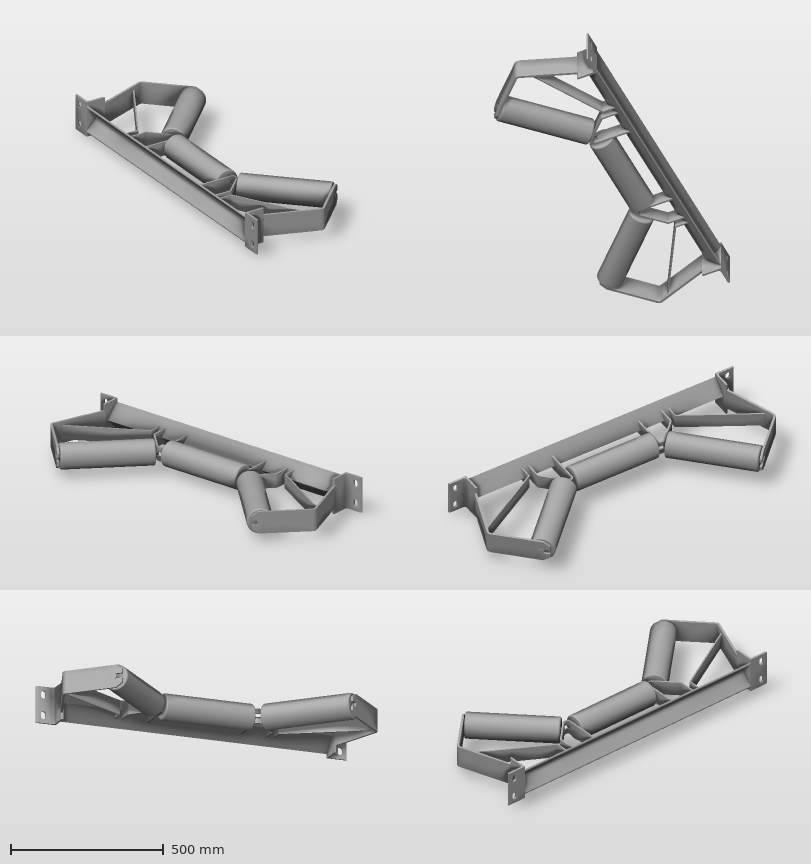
import cadquery as cq
import math


ANGLE_LEG = 70.0
ANGLE_THICKNESS = 7.0
ANGLE_ROOT_RADIUS = 9.0
ANGLE_TOE_RADIUS = 4.0

TOTAL_WIDTH = 1109.0
FOOT_LENGTH = 125.0
FOOT_INSET = 5.0
BEAM_HALF_LENGTH = TOTAL_WIDTH / 2 - FOOT_INSET - ANGLE_LEG
BEAM_APEX_HEIGHT = 52.0
CORNER_UP_ANGLE = 225.0

BOLT_SLOT_WIDTH = 17.0
BOLT_SLOT_LENGTH = 27.0
BOLT_SLOT_X = 525.0
BOLT_SLOT_Z = 35.0

ROLLER_RADIUS = 44.0
ROLLER_HALF_LENGTH = 157.0
ROLLER_EDGE_RADIUS = 5.0
HUB_RADIUS = 13.0
HUB_LENGTH = 2.8
SHAFT_RADIUS = 10.0
SHAFT_HALF_LENGTH = 170.0
SHAFT_FLAT_WIDTH = 17.0

TROUGH_ANGLE = 45.0
LEVEL_ROLLER_Y = 135.0
SIDE_ROLLER_X = 310.0
SIDE_ROLLER_Y = 266.0

ARM_WIDTH = 78.0
ARM_THICKNESS = 8.0
ARM_DISTANCE = 164.0
ARM_BEND_RADIUS = 11.0
ARM_LEAN = 20.0
ARM_BOTTOM_Y = 68.0
ARM_TIP_PAST_SHAFT = 30.0
ARM_TIP_CHAMFER_LENGTH = 23.0
ARM_TIP_CHAMFER_WIDTH = 15.0

BRACKET_WIDTH = 50.0
BRACKET_THICKNESS = 6.0
BRACKET_DISTANCE = 165.0
BRACKET_OUTER_LEG_X = 256.0
BRACKET_TOP_Y = 161.0
BRACKET_BEND_RADIUS = 4.0

STRUT_WIDTH = BRACKET_WIDTH
STRUT_THICKNESS = 5.0
STRUT_FOOT_X = 282.0
STRUT_BEND_Y = 72.0
STRUT_RISE = 30.0

AXIS_UP = cq.Vector(-math.sin(math.radians(TROUGH_ANGLE)), math.cos(math.radians(TROUGH_ANGLE)))
PLATE_UP = cq.Vector(-AXIS_UP.x, AXIS_UP.y)
SIDE_CENTRE = cq.Vector(-SIDE_ROLLER_X, SIDE_ROLLER_Y)
LEVEL_CENTRE = cq.Vector(0, LEVEL_ROLLER_Y)

ARM_MID_RADIUS = ARM_BEND_RADIUS + ARM_THICKNESS / 2
ARM_SHAFT_POINT = SIDE_CENTRE + AXIS_UP * ARM_DISTANCE
ARM_TIP = ARM_SHAFT_POINT + PLATE_UP * ARM_TIP_PAST_SHAFT
BEND_CENTRE_X = -TOTAL_WIDTH / 2 + ARM_BEND_RADIUS + ARM_THICKNESS
BEND_FOOT_POINT = ARM_SHAFT_POINT - AXIS_UP * ARM_MID_RADIUS
BEND_CENTRE_Y = BEND_FOOT_POINT.y + (BEND_CENTRE_X - BEND_FOOT_POINT.x) * PLATE_UP.y / PLATE_UP.x


def mirrored(body):
    """The same body on the other side of X = 0."""
    return body.mirror("YZ")


def prism(points, depth):
    """Polygon in XY extruded symmetrically about Z = 0."""
    outline = cq.Workplane("XY").workplane(offset=-depth / 2).polyline([(p.x, p.y) for p in points])
    return outline.close().extrude(depth)


def rod(radius, half_length):
    """Cylinder along X, centred at the origin."""
    return cq.Workplane("YZ").workplane(offset=-half_length).circle(radius).extrude(2 * half_length)


def bent_strip(centreline, thickness, width, bend_radius):
    """Flat bar bent along a centreline, with round bends."""
    count = len(centreline)
    headings = [(centreline[i + 1] - centreline[i]).normalized() for i in range(count - 1)]
    normals = [cq.Vector(-h.y, h.x) for h in headings]
    sides = {1: [], -1: []}
    for i, point in enumerate(centreline):
        before = normals[max(i - 1, 0)]
        after = normals[min(i, count - 2)]
        mitre = (before + after) * (1 / (1 + before.dot(after)))
        for side in sides:
            sides[side].append(point + mitre * (side * thickness / 2))
    strip = prism(sides[1] + sides[-1][::-1], width)
    for i in range(1, count - 1):
        turn = headings[i - 1].cross(headings[i]).z
        inside = 1 if turn > 0 else -1
        for side, radius in ((inside, bend_radius), (-inside, bend_radius + thickness)):
            corner = sides[side][i]
            strip = strip.edges(cq.NearestToPointSelector((corner.x, corner.y, 0))).fillet(radius)
    return strip


def along_axis(body, centre, angle):
    """Move a body built along X at the origin onto a roller axis."""
    return body.rotate((0, 0, 0), (0, 0, 1), angle).translate(centre)



def make_roller():
    """Roller along X with rounded ends, a hub at each end and a bore for its shaft."""
    shell = rod(ROLLER_RADIUS, ROLLER_HALF_LENGTH).edges("%CIRCLE").fillet(ROLLER_EDGE_RADIUS)
    hub_reach = ROLLER_HALF_LENGTH + HUB_LENGTH
    hubs = rod(HUB_RADIUS, hub_reach)
    bore = rod(SHAFT_RADIUS, hub_reach)
    return shell.union(hubs).cut(bore)


def make_shaft():
    """Round shaft along X with two flats on each end beyond the hubs."""
    shaft = rod(SHAFT_RADIUS, SHAFT_HALF_LENGTH)
    core_length = 2 * (ROLLER_HALF_LENGTH + HUB_LENGTH)
    core = cq.Workplane("XY").box(core_length, 2 * SHAFT_RADIUS, 2 * SHAFT_RADIUS)
    flats = cq.Workplane("XY").box(2 * SHAFT_HALF_LENGTH, 2 * SHAFT_RADIUS, SHAFT_FLAT_WIDTH)
    return shaft.intersect(core.union(flats))


def make_shaft_slot(plate_distance, plate_thickness, reach):
    """Cutter for the open-topped slot that seats the +X end of a shaft lying along X."""
    depth = 2 * plate_thickness
    seat = rod(SHAFT_RADIUS, depth / 2)
    seat = seat.intersect(cq.Workplane("XY").box(depth, 2 * SHAFT_RADIUS, SHAFT_FLAT_WIDTH))
    channel = cq.Workplane("XY").box(depth, reach, SHAFT_FLAT_WIDTH).translate((0, reach / 2, 0))
    return seat.union(channel).translate((plate_distance, 0, 0))



def make_angle(length):
    """Rolled angle with its outer corner on the Z axis, legs along +X and +Y, centred in Z."""
    bar = prism([
        cq.Vector(0, 0),
        cq.Vector(ANGLE_LEG, 0),
        cq.Vector(ANGLE_LEG, ANGLE_THICKNESS),
        cq.Vector(ANGLE_THICKNESS, ANGLE_THICKNESS),
        cq.Vector(ANGLE_THICKNESS, ANGLE_LEG),
        cq.Vector(0, ANGLE_LEG),
    ], length)
    root = cq.NearestToPointSelector((ANGLE_THICKNESS, ANGLE_THICKNESS, 0))
    bar = bar.edges(root).fillet(ANGLE_ROOT_RADIUS)
    for toe in ((ANGLE_LEG, ANGLE_THICKNESS, 0), (ANGLE_THICKNESS, ANGLE_LEG, 0)):
        bar = bar.edges(cq.NearestToPointSelector(toe)).fillet(ANGLE_TOE_RADIUS)
    return bar


def make_beam():
    """Angle laid along X with its corner upwards."""
    beam = make_angle(2 * BEAM_HALF_LENGTH).rotate((0, 0, 0), (0, 0, 1), CORNER_UP_ANGLE)
    return beam.rotate((0, 0, 0), (0, 1, 0), 90).translate((0, BEAM_APEX_HEIGHT, 0))


def make_beam_envelope():
    """Triangular space under the outer faces of the beam, which the plates straddle."""
    outline = cq.Workplane("YZ").polyline([
        (BEAM_APEX_HEIGHT, 0),
        (0, BEAM_APEX_HEIGHT),
        (0, -BEAM_APEX_HEIGHT),
    ])
    return outline.close().extrude(BEAM_HALF_LENGTH, both=True)


def make_foot():
    """Angle with an upright leg against the beam end and a slotted leg on the ground, pointing outwards."""
    foot = mirrored(make_angle(FOOT_LENGTH)).translate((-BEAM_HALF_LENGTH, 0, 0))
    slots = cq.Workplane("XZ").pushPoints([(-BOLT_SLOT_X, BOLT_SLOT_Z), (-BOLT_SLOT_X, -BOLT_SLOT_Z)])
    slots = slots.slot2D(BOLT_SLOT_LENGTH, BOLT_SLOT_WIDTH, 90).extrude(ANGLE_LEG / 2, both=True)
    return foot.cut(slots)


def make_arm():
    """Whole outer arm: a leaning lower length, a round bend and an inclined upper length."""
    half_turn = math.radians((TROUGH_ANGLE + ARM_LEAN) / 2)
    outward = math.radians(180 - TROUGH_ANGLE) + half_turn
    corner_reach = ARM_MID_RADIUS / math.cos(half_turn)
    corner = cq.Vector(
        BEND_CENTRE_X + corner_reach * math.cos(outward),
        BEND_CENTRE_Y + corner_reach * math.sin(outward),
    )
    bottom_x = corner.x + (corner.y - ARM_BOTTOM_Y) * math.tan(math.radians(ARM_LEAN))
    centreline = [cq.Vector(bottom_x, ARM_BOTTOM_Y), corner, ARM_TIP]
    return bent_strip(centreline, ARM_THICKNESS, ARM_WIDTH, ARM_BEND_RADIUS)


def above_bend():
    """Space above the level through the arm's bend centre."""
    space = cq.Workplane("XY").box(TOTAL_WIDTH, TOTAL_WIDTH, FOOT_LENGTH)
    return space.translate((-TOTAL_WIDTH / 2, BEND_CENTRE_Y + TOTAL_WIDTH / 2, 0))


def make_lower_arm():
    """Leaning length of the arm, from the foot up to the level of the bend centre."""
    return make_arm().cut(above_bend())


def make_upper_arm():
    """Inclined length of the arm with a slot for the shaft and cut corners at its tip."""
    arm = make_arm().intersect(above_bend())
    slot = make_shaft_slot(ARM_DISTANCE, ARM_THICKNESS, 2 * ARM_TIP_PAST_SHAFT)
    arm = arm.cut(along_axis(mirrored(slot), SIDE_CENTRE, -TROUGH_ANGLE))
    corner = cq.Workplane("YZ").polyline([
        (ARM_TIP_PAST_SHAFT, ARM_WIDTH / 2),
        (ARM_TIP_PAST_SHAFT - ARM_TIP_CHAMFER_LENGTH, ARM_WIDTH / 2),
        (ARM_TIP_PAST_SHAFT, ARM_WIDTH / 2 - ARM_TIP_CHAMFER_WIDTH),
    ])
    corner = corner.close().extrude(ARM_THICKNESS, both=True).translate((-ARM_DISTANCE, 0, 0))
    for cutter in (corner, corner.mirror("XY")):
        arm = arm.cut(along_axis(cutter, SIDE_CENTRE, -TROUGH_ANGLE))
    return arm


def make_bracket():
    """Inner bracket between the level roller and the inclined roller, slotted for both shafts."""
    top_y = BRACKET_TOP_Y - BRACKET_THICKNESS / 2
    bottom_y = BEAM_APEX_HEIGHT - BRACKET_WIDTH / 2
    seat = SIDE_CENTRE - AXIS_UP * BRACKET_DISTANCE
    slope = PLATE_UP.y / PLATE_UP.x
    centreline = [
        cq.Vector(-BRACKET_OUTER_LEG_X, bottom_y),
        cq.Vector(-BRACKET_OUTER_LEG_X, seat.y - (seat.x + BRACKET_OUTER_LEG_X) * slope),
        cq.Vector(seat.x + (top_y - seat.y) / slope, top_y),
        cq.Vector(-BRACKET_DISTANCE, top_y),
        cq.Vector(-BRACKET_DISTANCE, bottom_y),
    ]
    bracket = bent_strip(centreline, BRACKET_THICKNESS, BRACKET_WIDTH, BRACKET_BEND_RADIUS)
    slot = make_shaft_slot(BRACKET_DISTANCE, BRACKET_THICKNESS, BRACKET_TOP_Y - LEVEL_ROLLER_Y)
    bracket = bracket.cut(along_axis(mirrored(slot), LEVEL_CENTRE, 0))
    bracket = bracket.cut(along_axis(slot, SIDE_CENTRE, -TROUGH_ANGLE))
    bridge_length = BRACKET_OUTER_LEG_X - BRACKET_DISTANCE
    bridge_slot = cq.Workplane("XY").box(bridge_length, 2 * BRACKET_THICKNESS, SHAFT_FLAT_WIDTH)
    return bracket.cut(bridge_slot.translate((-BRACKET_DISTANCE - bridge_length / 2, top_y, 0)))


def make_strut():
    """Strut rising from the beam to the inner face of the leaning arm."""
    arm_x = BEND_CENTRE_X - ARM_MID_RADIUS / math.cos(math.radians(ARM_LEAN))
    lean = math.tan(math.radians(ARM_LEAN))
    rise = math.tan(math.radians(STRUT_RISE))
    meet_x = (arm_x + lean * (BEND_CENTRE_Y - STRUT_BEND_Y) + lean * rise * STRUT_FOOT_X) / (1 - lean * rise)
    centreline = [
        cq.Vector(-STRUT_FOOT_X, BEAM_APEX_HEIGHT - STRUT_WIDTH / 2),
        cq.Vector(-STRUT_FOOT_X, STRUT_BEND_Y),
        cq.Vector(meet_x, STRUT_BEND_Y - (meet_x + STRUT_FOOT_X) * rise),
    ]
    return bent_strip(centreline, STRUT_THICKNESS, STRUT_WIDTH, STRUT_THICKNESS / 2)


def make_frame():
    """Welded frame: beam, feet, lower arms, struts and inner brackets."""
    straddling = make_bracket().union(make_strut()).cut(make_beam_envelope())
    left = make_foot().union(make_lower_arm()).union(straddling)
    return make_beam().union(left).union(mirrored(left))


frame = make_frame()
upper_arm = make_upper_arm()
upper_arms = [upper_arm, mirrored(upper_arm)]

roller_places = [
    (LEVEL_CENTRE, 0),
    (SIDE_CENTRE, -TROUGH_ANGLE),
    (cq.Vector(SIDE_ROLLER_X, SIDE_ROLLER_Y), TROUGH_ANGLE),
]
rollers = [along_axis(make_roller(), centre, angle) for centre, angle in roller_places]
shafts = [along_axis(make_shaft(), centre, angle) for centre, angle in roller_places]

bodies = [frame, *upper_arms, *rollers, *shafts]
result = cq.Compound.makeCompound([solid for body in bodies for solid in body.solids().vals()])